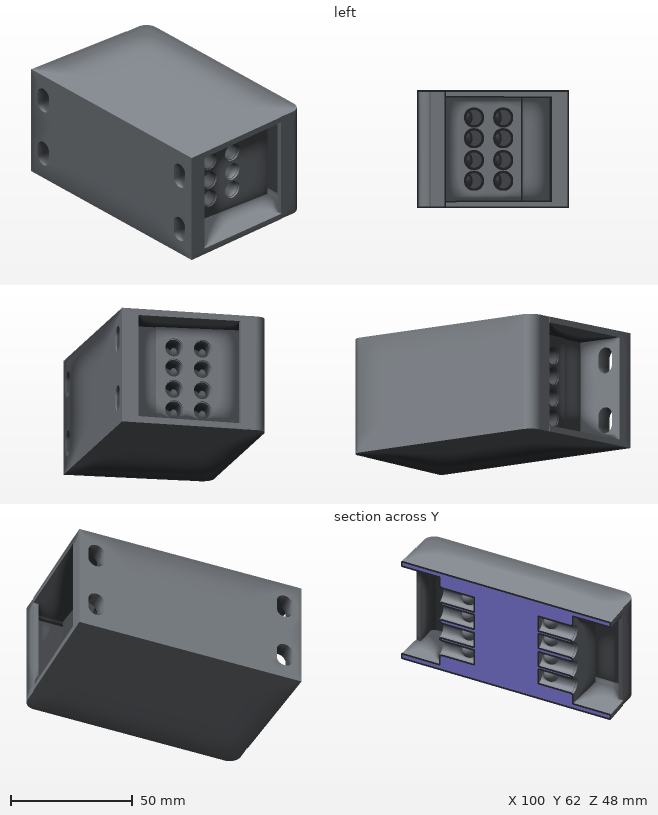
import cadquery as cq
import math

length = 100.0
depth = 62.0
height = 48.0
side_draft = 2.0

cover_start = 50.6
cover_length = 96.0
cover_wall = 2.0
corner_radius = 5.0

rim_thickness = 3.1
rim_slope_start = 57.7
rim_slope_end = 58.5

plate_back = 2.4
plate_front = 2.7
front_wall_mouth = 7.1
front_wall_inner = 7.4

block_front = 19.1
block_back = 57.6
block_half_front = 30.4
block_half_back = 31.7
block_undercut = 1.0

slot_width = 7.1
slot_height = 10.8
slot_spacing_x = 84.8
slot_spacing_z = 25.0

wire_hole_diameter = 7.0
wire_hole_depth = 16.0
counterbore_diameter = 7.6
counterbore_depth = 0.8
wire_columns_y = [26.8, 38.8]
wire_offsets_z = [-13.0, -4.5, 4.5, 13.0]

screw_tip_radius = 3.3
screw_tip_depth = 12.0
screw_tip_offset = 4.2

half_length = length / 2
half_cover = cover_length / 2
half_cavity = half_cover - cover_wall
cavity_back = depth - cover_wall
mid_z = height / 2


def block_half_length(y):
    """Half the X length of the terminal block at a given Y."""
    share = (y - block_front) / (block_back - block_front)
    return block_half_front + share * (block_half_back - block_half_front)


def prism(points):
    """Extrude an XY outline over the full height."""
    return cq.Workplane("XY").polyline(points).close().extrude(height)


def rounded_box(box_length, y_start, y_end, radius):
    """Full-height box centred on X, with its two rear corners rounded."""
    box = cq.Workplane("XY").box(box_length, y_end - y_start, height, centered=(True, False, False))
    return box.translate((0, y_start, 0)).edges("|Z and >Y").fillet(radius)


def make_body():
    """Tapered housing with the narrower, round-cornered cover behind it."""
    half_rear = half_length - cover_start * math.tan(math.radians(side_draft))
    housing = prism(
        [(-half_length, 0), (half_length, 0), (half_rear, cover_start), (-half_rear, cover_start)]
    )
    return housing.union(rounded_box(cover_length, block_front, depth, corner_radius))


def make_block():
    """Full-height outline of the terminal block, which stays solid."""
    return prism(
        [
            (-block_half_front, block_front),
            (block_half_front, block_front),
            (block_half_back, block_back),
            (-block_half_back, block_back),
        ]
    )


def make_interior_section():
    """Bar along X with the YZ section of the interior: thickening plates and sloped rim."""
    lower_edge = [
        (0, plate_front),
        (rim_slope_start, plate_back),
        (rim_slope_end, rim_thickness),
        (cavity_back, rim_thickness),
    ]
    upper_edge = [(y, height - z) for y, z in reversed(lower_edge)]
    section = cq.Workplane("YZ", origin=(-half_length, 0, 0)).polyline(lower_edge + upper_edge)
    return section.close().extrude(length)


def make_side_opening():
    """Full-height opening in the left wall, deepened in front of the terminal block."""
    undercut_x = -block_half_front + block_undercut
    return prism(
        [
            (-half_length, front_wall_mouth),
            (undercut_x, front_wall_inner),
            (undercut_x, cover_start),
            (-half_length, cover_start),
        ]
    )


def make_interior():
    """Both side pockets and the gap behind the terminal block that joins them."""
    opening = make_side_opening()
    inside_cover = rounded_box(2 * half_cavity, cover_start, cavity_back, corner_radius - cover_wall)
    space = inside_cover.union(opening).union(opening.mirror("YZ"))
    return space.cut(make_block()).intersect(make_interior_section())


def make_wire_hole(y, z):
    """Counterbored blind hole along X, leaving the domed screw tip inside it."""
    face_x = -block_half_length(y)
    face = cq.Workplane("YZ", origin=(face_x, y, z))
    bore = face.circle(wire_hole_diameter / 2).extrude(wire_hole_depth)
    counterbore = face.circle(counterbore_diameter / 2).extrude(counterbore_depth, both=True)
    tip = cq.Workplane("XY").sphere(screw_tip_radius)
    tip = tip.translate((face_x + screw_tip_depth, y + screw_tip_offset, z))
    return bore.cut(tip).union(counterbore)


def make_slots():
    """Four upright mounting slots through the front wall."""
    return (
        cq.Workplane("XZ", origin=(0, 0, mid_z))
        .rarray(slot_spacing_x, slot_spacing_z, 2, 2)
        .slot2D(slot_height, slot_width, 90)
        .extrude(-block_front)
    )


result = make_body().cut(make_interior()).cut(make_slots())
for column_y in wire_columns_y:
    for offset_z in wire_offsets_z:
        wire_hole = make_wire_hole(column_y, mid_z + offset_z)
        result = result.cut(wire_hole).cut(wire_hole.mirror("YZ"))